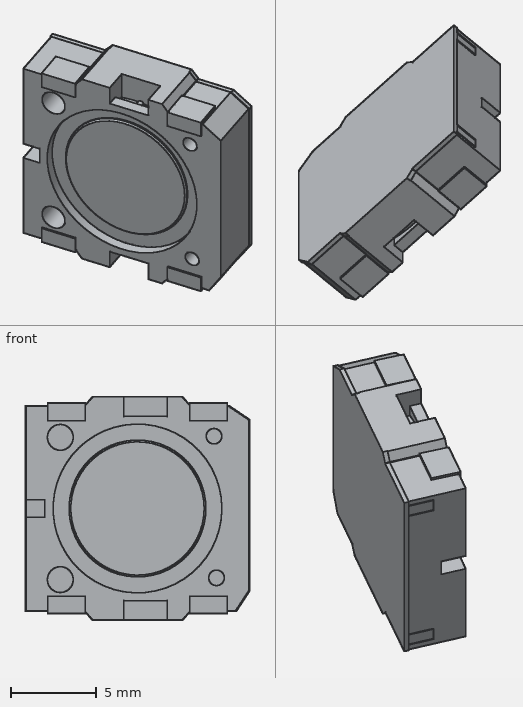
import cadquery as cq

overall_width = 13.05
overall_height = 13.0
overall_depth = 3.9
foot_thickness = 0.1
cover_thickness = 0.29

side_overhang = 0.05
edge_overhang = 0.01
housing_half_height = 5.95
bulge_base_half_width = 3.03
bulge_base_height = 6.02
housing_bulge_half_width = 2.62
cover_bulge_half_width = 2.58
corner_x = 1.19
corner_z = 0.8
lower_corner_x = 0.77
lower_corner_z = 1.17

flange_diameter = 9.81
flange_depth = 0.63
disc_diameter = 7.96
disc_depth = 0.43
disc_chamfer = 0.1
large_hole_diameter = 1.5
large_hole_centers = [(-4.49, 4.14), (-4.49, -4.14)]
small_hole_diameter = 0.9
small_hole_centers = [(4.45, 4.2), (4.6, -4.03)]

bulge_notch_left = -0.81
bulge_notch_right = 1.72
bulge_notch_floor = 5.36
bulge_notch_depth = 1.53
lip_thickness = 0.7
pocket_floor = 4.57
flange_end_gap = 0.05
wire_radius = 0.2
wire_x = 0.46
side_notch_width = 1.02
side_notch_reach = 1.07
side_notch_depth = 1.5

side_recess_front = 1.98
side_recess_width = 0.81
side_recess_offset = 5.17
side_recess_depth = 0.05

terminal_inner_x = 3.03
terminal_outer_x = 5.22
terminal_length = 1.8
terminal_foot_end = 5.12
terminal_outer_height = 6.11
upper_leg_splay = 0.04

half_width = overall_width / 2
half_height = overall_height / 2
back_y = overall_depth - foot_thickness
cover_y = back_y - cover_thickness
housing_half_width = half_width - side_overhang


def box(x_range, y_range, z_range):
    """Axis-aligned box between the given limits."""
    size = [limits[1] - limits[0] for limits in (x_range, y_range, z_range)]
    corner = (x_range[0], y_range[0], z_range[0])
    return cq.Workplane("XY").box(*size, centered=False).translate(corner)


def cylinder(diameter, start_y, end_y, center=(0, 0)):
    """Cylinder along Y with its centre given as (x, z)."""
    plane = cq.Workplane("XZ", origin=(0, start_y, 0))
    return plane.center(*center).circle(diameter / 2).extrude(start_y - end_y)


def plate(start_y, end_y, side_x, edge_z, bulge_half_width):
    """Plate with a central bulge above and below and two cut right corners."""
    shrink = half_width - side_x
    bulge = [
        (-bulge_base_half_width, edge_z),
        (-bulge_base_half_width, bulge_base_height),
        (-bulge_half_width, half_height),
        (bulge_half_width, half_height),
        (bulge_base_half_width, bulge_base_height),
        (bulge_base_half_width, edge_z),
    ]
    right_corners = [
        (half_width - corner_x - shrink, edge_z),
        (side_x, edge_z - corner_z),
        (side_x, lower_corner_z - edge_z),
        (half_width - lower_corner_x - shrink, -edge_z),
    ]
    lower_bulge = [(x, -z) for x, z in reversed(bulge)]
    points = [(-side_x, edge_z)] + bulge + right_corners + lower_bulge + [(-side_x, -edge_z)]
    return cq.Workplane("XZ", origin=(0, start_y, 0)).polyline(points).close().extrude(start_y - end_y)


def make_body():
    """Housing and cover joined."""
    housing = plate(0, cover_y, housing_half_width, housing_half_height, housing_bulge_half_width)
    cover_half_height = housing_half_height + edge_overhang
    cover = plate(cover_y, back_y, half_width, cover_half_height, cover_bulge_half_width)
    return housing.union(cover)


def upper_bulge_notch():
    """Notch in the upper bulge and the pocket behind its lip, without the flange rim."""
    x_range = (bulge_notch_left, bulge_notch_right)
    notch = box(x_range, (0, bulge_notch_depth), (bulge_notch_floor, half_height))
    pocket = box(x_range, (lip_thickness, bulge_notch_depth), (pocket_floor, bulge_notch_floor))
    rim_end = bulge_notch_depth - flange_end_gap
    rim = cylinder(flange_diameter, lip_thickness, rim_end)
    return notch.union(pocket).cut(rim)


def lead_wire():
    """Wire lying along the flange rim in the upper notch."""
    wire_center = (wire_x, flange_diameter / 2 - wire_radius / 2)
    return cylinder(2 * wire_radius, lip_thickness, bulge_notch_depth - flange_end_gap, wire_center)


def side_notch():
    """Notch in the middle of the left side."""
    x_range = (-housing_half_width, side_notch_reach - housing_half_width)
    return box(x_range, (0, side_notch_depth), (-side_notch_width / 2, side_notch_width / 2))


def side_recess(center_z):
    """Shallow recess in the left side, ending at the cover."""
    x_range = (-housing_half_width, side_recess_depth - housing_half_width)
    z_range = (center_z - side_recess_width / 2, center_z + side_recess_width / 2)
    return box(x_range, (side_recess_front, cover_y), z_range)


def disc():
    """Raised disc with a chamfered front rim on the flange."""
    return cylinder(disc_diameter, disc_depth, flange_depth).faces("<Y").chamfer(disc_chamfer)


def terminal(left_x, leg_splay):
    """L-shaped terminal at the upper edge: foot on the front face, leg along the edge."""
    leg_end = terminal_length - foot_thickness
    points = [
        (-foot_thickness, terminal_foot_end),
        (-foot_thickness, terminal_outer_height),
        (leg_end, terminal_outer_height + leg_splay),
        (leg_end, housing_half_height + leg_splay),
        (0, housing_half_height),
        (0, terminal_foot_end),
    ]
    width = terminal_outer_x - terminal_inner_x
    return cq.Workplane("YZ", origin=(left_x, 0, 0)).polyline(points).close().extrude(width)


result = make_body()

result = result.cut(cylinder(flange_diameter, 0, flange_depth)).union(disc())

for hole_center in large_hole_centers:
    result = result.cut(cylinder(large_hole_diameter, 0, cover_y, hole_center))
for hole_center in small_hole_centers:
    result = result.cut(cylinder(small_hole_diameter, 0, cover_y, hole_center))

result = result.cut(upper_bulge_notch())
result = result.cut(upper_bulge_notch().mirror("XY"))
result = result.union(lead_wire())
result = result.cut(side_notch())
for recess_z in (side_recess_offset, -side_recess_offset):
    result = result.cut(side_recess(recess_z))

for terminal_x in (-terminal_outer_x, terminal_inner_x):
    result = result.union(terminal(terminal_x, upper_leg_splay))
    result = result.union(terminal(terminal_x, 0).mirror("XY"))